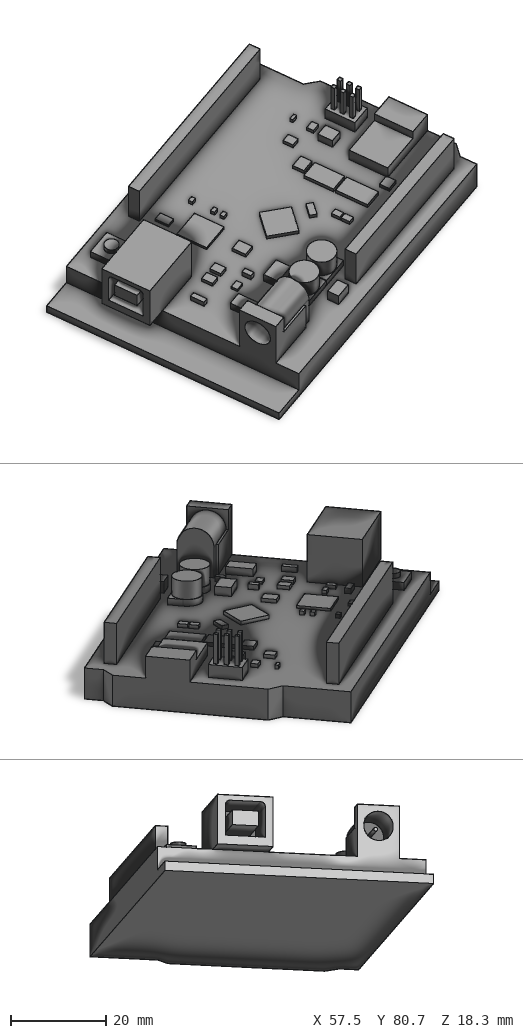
import cadquery as cq


CARRIER_WIDTH = 57.5
CARRIER_LENGTH = 80.7
TOTAL_HEIGHT = 18.3
BOARD_TOP = 7.0
LEDGE_DEPTH = 7.8
LEDGE_HEIGHT = 2.0
TAB_LENGTH = 2.6
TAB_LEFT = 14.6
TAB_RIGHT = 53.4
SHOULDER_Y = CARRIER_LENGTH - TAB_LENGTH

HEADER_WIDTH = 2.7
HEADER_HEIGHT = 9.25
HEADER_REAR_Y = 74.55
LEFT_HEADER_X = 4.8
LEFT_HEADER_LENGTH = 47.75
RIGHT_HEADER_X = 52.77
RIGHT_HEADER_LENGTH = 38.75

PIN_BLOCK_CENTER = (27.33, 74.7)
PIN_BLOCK_WIDTH = 7.35
PIN_BLOCK_LENGTH = 4.9
PIN_BLOCK_HEIGHT = 2.9
PIN_PITCH_X = 2.3
PIN_PITCH_Y = 2.45
PIN_SIDE = 0.9
PIN_TOP = 9.55

REAR_CONNECTOR_X = 38.9
REAR_CONNECTOR_WIDTH = 9.55
REAR_CONNECTOR_LENGTH = 15.7
REAR_CONNECTOR_HEIGHT = 2.9
REAR_STEP_LENGTH = 5.75
REAR_STEP_HEIGHT = 4.95

USB_X = 17.8
USB_WIDTH = 11.9
USB_FRONT_Y = 2.85
USB_LENGTH = 16.5
USB_HEIGHT = 10.7
USB_OPENING_WIDTH = 8.5
USB_OPENING_BOTTOM = 1.95
USB_OPENING_HEIGHT = 7.6
USB_OPENING_RADIUS = 1.0
USB_OPENING_DEPTH = 10.0
USB_TONGUE_WIDTH = 5.6
USB_TONGUE_BOTTOM = 4.3
USB_TONGUE_HEIGHT = 3.2

JACK_X = 47.3
JACK_WIDTH = 9.0
JACK_HEIGHT = TOTAL_HEIGHT - BOARD_TOP
JACK_FLANGE_LENGTH = 3.15
JACK_BODY_LENGTH = 11.85
JACK_BARREL_LENGTH = 13.85
JACK_BARREL_DIAMETER = 8.0
JACK_AXIS_HEIGHT = 6.8
JACK_BORE_DIAMETER = 6.3
JACK_BORE_DEPTH = 10.0
JACK_PIN_DIAMETER = 0.8
JACK_PIN_LENGTH = 7.0

CAPACITOR_X = 45.75
CAPACITOR_FRONT_Y = 28.7
CAPACITOR_PITCH = 6.85
CAPACITOR_BASE_RADIUS = 3.35
CAPACITOR_BASE_HEIGHT = 1.5
CAPACITOR_CAN_RADIUS = 3.2
CAPACITOR_HEIGHT = 5.6
CAPACITOR_COUNT = 2

BUTTON_CENTER = (6.1, 15.9)
BUTTON_SIDE = 6.45
BUTTON_BODY_HEIGHT = 1.75
BUTTON_CAP_DIAMETER = 3.2
BUTTON_HEIGHT = 2.85

FLAT = 0.6
LOW = 0.85
MEDIUM = 1.2
TALL = 1.75
TALLER = 2.0
TALLEST = 2.6

FLAT_PARTS = [
    (18.20, 68.35, 0.75, 1.50, LOW),
    (23.00, 68.35, 1.65, 2.05, LOW),
    (27.50, 67.60, 3.60, 3.00, TALLER),
    (21.15, 62.60, 2.45, 2.05, LOW),
    (44.85, 63.15, 2.40, 2.70, LOW),
    (26.80, 58.20, 2.75, 3.20, LOW),
    (32.55, 57.65, 7.35, 4.35, LOW),
    (40.70, 57.65, 7.90, 4.35, LOW),
    (40.55, 50.15, 2.05, 1.50, LOW),
    (42.95, 50.15, 2.15, 1.50, LOW),
    (12.60, 37.25, 1.00, 1.25, LOW),
    (18.10, 37.25, 1.00, 1.25, LOW),
    (20.40, 37.25, 1.00, 1.25, LOW),
    (18.70, 30.90, 7.35, 6.95, FLAT),
    (10.55, 29.65, 3.30, 2.05, FLAT),
    (18.65, 24.25, 1.00, 1.85, LOW),
    (13.90, 22.25, 1.35, 2.95, MEDIUM),
    (18.05, 21.35, 2.10, 1.20, LOW),
    (28.80, 31.30, 3.30, 2.70, LOW),
    (39.05, 28.70, 3.60, 4.90, TALLER),
    (RIGHT_HEADER_X, 30.80, 2.70, 3.80, TALLEST),
    (33.70, 25.70, 2.20, 1.20, MEDIUM),
    (27.60, 23.55, 2.70, 2.05, LOW),
    (27.60, 20.30, 2.70, 2.05, LOW),
    (33.40, 21.80, 1.55, 2.05, FLAT),
    (41.50, 23.20, 2.20, 1.00, MEDIUM),
    (38.45, 17.45, 5.90, 3.25, TALL),
    (28.80, 14.10, 3.35, 1.20, MEDIUM),
]

CONTROLLER_CENTER = (31.45, 41.6)
CONTROLLER_SIDE = 6.95
CONTROLLER_ANGLE = 45
RESONATOR_CENTER = (35.3, 48.25)
RESONATOR_LENGTH = 3.35
RESONATOR_WIDTH = 1.6
RESONATOR_ANGLE = -45


def block(x, y, size_x, size_y, height, base=BOARD_TOP, angle=0):
    """Box centred at (x, y), standing on the level `base`, turned about Z."""
    box = cq.Workplane("XY").box(size_x, size_y, height, centered=(True, True, False))
    return box.rotate((0, 0, 0), (0, 0, 1), angle).translate((x, y, base))


def block_from_front(x, front_y, size_x, length, height, base=BOARD_TOP):
    """Box centred on x that starts at front_y and runs toward the rear."""
    return block(x, front_y + length / 2, size_x, length, height, base)


def upright_cylinder(x, y, radius, height):
    return cq.Workplane("XY", origin=(x, y, BOARD_TOP)).circle(radius).extrude(height)


def rearward_cylinder(x, front_y, z, diameter, length):
    """Cylinder along +Y whose front face is at front_y."""
    return cq.Workplane("XZ", origin=(x, front_y, z)).circle(diameter / 2).extrude(-length)


def carrier():
    outline = [
        (0, 0),
        (CARRIER_WIDTH, 0),
        (CARRIER_WIDTH, SHOULDER_Y),
        (TAB_RIGHT, SHOULDER_Y),
        (TAB_RIGHT - TAB_LENGTH, CARRIER_LENGTH),
        (TAB_LEFT + TAB_LENGTH, CARRIER_LENGTH),
        (TAB_LEFT, SHOULDER_Y),
        (0, SHOULDER_Y),
    ]
    body = cq.Workplane("XY").polyline(outline).close().extrude(BOARD_TOP)
    step = block_from_front(
        CARRIER_WIDTH / 2, 0, CARRIER_WIDTH, LEDGE_DEPTH, BOARD_TOP - LEDGE_HEIGHT, LEDGE_HEIGHT
    )
    return body.cut(step)


def socket_header(x, length):
    return block_from_front(x, HEADER_REAR_Y - length, HEADER_WIDTH, length, HEADER_HEIGHT)


def pin_header():
    x, y = PIN_BLOCK_CENTER
    header = block(x, y, PIN_BLOCK_WIDTH, PIN_BLOCK_LENGTH, PIN_BLOCK_HEIGHT)
    for column in (-1, 0, 1):
        for row in (-0.5, 0.5):
            pin_x = x + column * PIN_PITCH_X
            pin_y = y + row * PIN_PITCH_Y
            header = header.union(block(pin_x, pin_y, PIN_SIDE, PIN_SIDE, PIN_TOP))
    return header


def rear_connector():
    low = block_from_front(
        REAR_CONNECTOR_X,
        CARRIER_LENGTH - REAR_CONNECTOR_LENGTH,
        REAR_CONNECTOR_WIDTH,
        REAR_CONNECTOR_LENGTH,
        REAR_CONNECTOR_HEIGHT,
    )
    high = block_from_front(
        REAR_CONNECTOR_X,
        CARRIER_LENGTH - REAR_STEP_LENGTH,
        REAR_CONNECTOR_WIDTH,
        REAR_STEP_LENGTH,
        REAR_STEP_HEIGHT,
    )
    return low.union(high)


def usb_socket():
    """Shell overhanging the ledge, with a front opening around a contact tongue."""
    shell = block_from_front(USB_X, USB_FRONT_Y, USB_WIDTH, USB_LENGTH, USB_HEIGHT)
    opening = block_from_front(
        USB_X,
        USB_FRONT_Y,
        USB_OPENING_WIDTH,
        USB_OPENING_DEPTH,
        USB_OPENING_HEIGHT,
        BOARD_TOP + USB_OPENING_BOTTOM,
    )
    opening = opening.edges("|Y and >Z").fillet(USB_OPENING_RADIUS)
    tongue = block_from_front(
        USB_X,
        USB_FRONT_Y,
        USB_TONGUE_WIDTH,
        USB_OPENING_DEPTH,
        USB_TONGUE_HEIGHT,
        BOARD_TOP + USB_TONGUE_BOTTOM,
    )
    return shell.cut(opening).union(tongue)


def power_jack():
    """Front flange, half-height body and round barrel, bored around a centre pin."""
    front_y = LEDGE_DEPTH
    axis_z = BOARD_TOP + JACK_AXIS_HEIGHT
    flange = block_from_front(JACK_X, front_y, JACK_WIDTH, JACK_FLANGE_LENGTH, JACK_HEIGHT)
    body = block_from_front(JACK_X, front_y, JACK_WIDTH, JACK_BODY_LENGTH, JACK_AXIS_HEIGHT)
    saddle = block_from_front(
        JACK_X, front_y, JACK_BARREL_DIAMETER, JACK_BARREL_LENGTH, JACK_AXIS_HEIGHT
    )
    barrel = rearward_cylinder(JACK_X, front_y, axis_z, JACK_BARREL_DIAMETER, JACK_BARREL_LENGTH)
    bore = rearward_cylinder(JACK_X, front_y, axis_z, JACK_BORE_DIAMETER, JACK_BORE_DEPTH)
    pin_tip_y = front_y + JACK_BORE_DEPTH - JACK_PIN_LENGTH
    pin = rearward_cylinder(JACK_X, pin_tip_y, axis_z, JACK_PIN_DIAMETER, JACK_PIN_LENGTH)
    return flange.union(body).union(saddle).union(barrel).cut(bore).union(pin)


def capacitor(y):
    """Round can on a base that is round on the left and square on the right."""
    radius = CAPACITOR_BASE_RADIUS
    base = upright_cylinder(CAPACITOR_X, y, radius, CAPACITOR_BASE_HEIGHT)
    square_half = block(CAPACITOR_X + radius / 2, y, radius, 2 * radius, CAPACITOR_BASE_HEIGHT)
    can = upright_cylinder(CAPACITOR_X, y, CAPACITOR_CAN_RADIUS, CAPACITOR_HEIGHT)
    return base.union(square_half).union(can)


def reset_button():
    x, y = BUTTON_CENTER
    body = block(x, y, BUTTON_SIDE, BUTTON_SIDE, BUTTON_BODY_HEIGHT)
    cap = upright_cylinder(x, y, BUTTON_CAP_DIAMETER / 2, BUTTON_HEIGHT)
    return body.union(cap)


def controller():
    x, y = CONTROLLER_CENTER
    return block(x, y, CONTROLLER_SIDE, CONTROLLER_SIDE, LOW, angle=CONTROLLER_ANGLE)


def resonator():
    x, y = RESONATOR_CENTER
    return block(x, y, RESONATOR_LENGTH, RESONATOR_WIDTH, LOW, angle=RESONATOR_ANGLE)


components = [
    socket_header(LEFT_HEADER_X, LEFT_HEADER_LENGTH),
    socket_header(RIGHT_HEADER_X, RIGHT_HEADER_LENGTH),
    pin_header(),
    rear_connector(),
    usb_socket(),
    power_jack(),
    reset_button(),
    controller(),
    resonator(),
]
for index in range(CAPACITOR_COUNT):
    components.append(capacitor(CAPACITOR_FRONT_Y + index * CAPACITOR_PITCH))
for part in FLAT_PARTS:
    components.append(block(*part))

result = carrier()
for component in components:
    result = result.union(component)